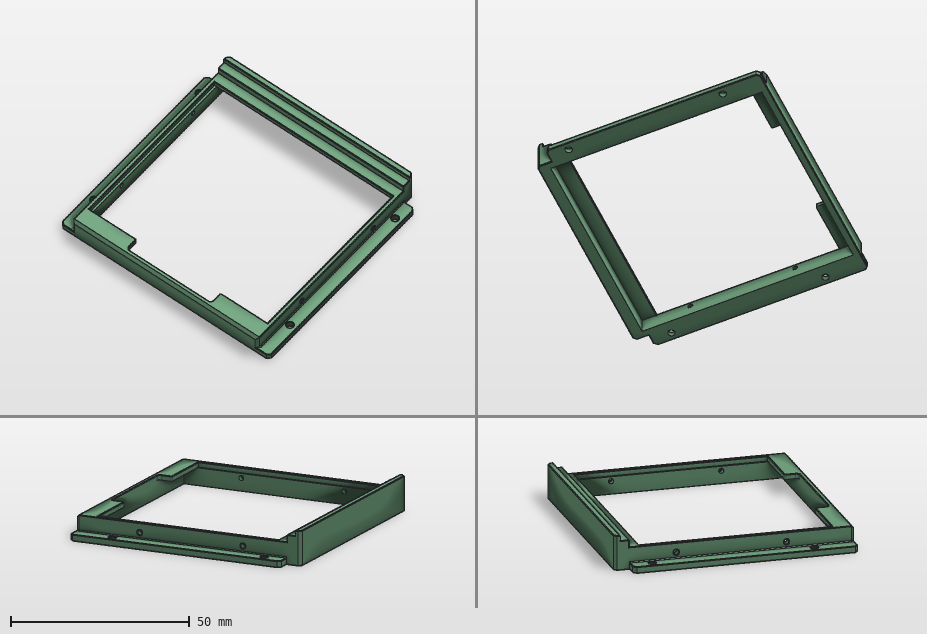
import cadquery as cq

length_x = 74.5
length_y = 70.0
height = 10.3

corner_chamfer = 0.9
flange_corner_chamfer = 1.0
edge_break = 0.2
rim_taper = 45

flange_width = 4.1
flange_thickness = 2.0
foot_chamfer = 0.3

frame_height = 6.6
plate_thickness = 1.5
side_wall = 2.1
front_wall = 2.0
back_wall = 3.35

rail_depth = 4.5
rail_height = 8.7
lip_depth = 1.8

window_side_wall = 1.35
window_front_margin = 6.2
window_back_margin = 7.6

notch_width = 29.95
notch_outer_radius = 0.4
notch_inner_radius = 0.9

flange_hole_diameter = 2.0
flange_hole_inset = 2.3
flange_hole_y = (12.2, 59.45)
side_hole_diameter = 1.4
side_hole_z = 3.8
side_hole_y = (19.8, 51.9)

frame_half_width = length_x / 2 - flange_width
frame_width = 2 * frame_half_width
rail_front = length_y - rail_depth
lip_front = length_y - lip_depth
window_end = length_y - window_back_margin
plate_bottom = frame_height - plate_thickness


def block(width, y_start, y_end, z_start, z_end):
    """Box centred on X that spans the given Y and Z ranges."""
    return (
        cq.Workplane("XY", origin=(0, (y_start + y_end) / 2, z_start))
        .box(width, y_end - y_start, z_end - z_start, centered=(True, True, False))
    )


def make_frame():
    """Low frame with a large chamfer along its front and broken top side edges."""
    frame = block(frame_width, 0, length_y, 0, frame_height)
    frame = frame.faces(">Y").edges("|Z").chamfer(corner_chamfer)
    frame = frame.faces("<Y").edges("|Z or >Z").chamfer(corner_chamfer)
    return frame.faces(">Z").edges("|Y").chamfer(edge_break)


def make_rail():
    """Two-step rail at the back: a wide step and a narrower lip behind it."""
    step = block(frame_width, rail_front, length_y, 0, rail_height)
    step = step.faces(">Y").edges("|Z").chamfer(corner_chamfer)
    step = step.faces("<Y").edges("|Z").chamfer(edge_break)
    step = step.faces(">Z").edges("not >Y").chamfer(edge_break)
    lip = block(frame_width, lip_front, length_y, 0, height)
    lip = lip.faces(">Y").edges("|Z").chamfer(corner_chamfer)
    lip = lip.faces(">Z").edges().chamfer(edge_break)
    return step.union(lip)


def make_flanges():
    """Flat mounting flanges, joined by one plate that passes under the frame."""
    plate = block(length_x, 0, rail_front, 0, flange_thickness)
    plate = plate.edges("|Z").chamfer(flange_corner_chamfer)
    return plate.faces(">Z").edges().chamfer(edge_break)


def make_foot_chamfers():
    """Sloped fillers where the side walls meet the flanges."""
    foot_top = flange_thickness + foot_chamfer
    foot_half_width = frame_half_width + foot_chamfer
    profile = [
        (-foot_half_width, flange_thickness),
        (foot_half_width, flange_thickness),
        (frame_half_width, foot_top),
        (-frame_half_width, foot_top),
    ]
    return (
        cq.Workplane("XZ", origin=(0, corner_chamfer, 0))
        .polyline(profile)
        .close()
        .extrude(corner_chamfer - rail_front)
    )


def make_cavity():
    """Open-bottomed hollow below the top plate."""
    cavity_width = frame_width - 2 * side_wall
    return block(cavity_width, front_wall, length_y - back_wall, 0, plate_bottom)


def make_window():
    """Opening through the top plate, with a notch reaching the front wall."""
    window_width = frame_width - 2 * window_side_wall
    window = block(window_width, window_front_margin, window_end, plate_bottom, frame_height)
    notch = block(notch_width, front_wall, window_end, plate_bottom, frame_height)
    notch = notch.faces("<Y").edges("|Z").fillet(notch_inner_radius)
    opening = window.union(notch)
    mouth = cq.selectors.BoxSelector(
        (-notch_width, window_front_margin - edge_break, plate_bottom),
        (notch_width, window_front_margin + edge_break, frame_height),
    )
    return opening.edges("|Z").edges(mouth).fillet(notch_outer_radius)


def break_window_rim(body):
    """Chamfer the upper rim of the window and its notch."""
    half_width = frame_half_width - window_side_wall + edge_break
    rim = cq.selectors.BoxSelector(
        (-half_width, front_wall - edge_break, frame_height - edge_break),
        (half_width, window_end + edge_break, frame_height + edge_break),
    )
    return body.edges(rim).chamfer(edge_break)


def make_flange_holes():
    """Vertical mounting holes in both flanges, with broken upper rims."""
    hole_x = length_x / 2 - flange_hole_inset
    points = [(x, y) for x in (-hole_x, hole_x) for y in flange_hole_y]
    radius = flange_hole_diameter / 2
    upper_face = cq.Workplane("XY", origin=(0, 0, flange_thickness)).pushPoints(points)
    shafts = upper_face.circle(radius).extrude(-flange_thickness)
    rims = upper_face.circle(radius + edge_break).extrude(-edge_break, taper=rim_taper)
    return shafts.union(rims)


def make_side_holes():
    """Horizontal holes through both side walls, with broken outer rims."""
    points = [(y, side_hole_z) for y in side_hole_y]
    radius = side_hole_diameter / 2
    left_face = cq.Workplane("YZ", origin=(-frame_half_width, 0, 0)).pushPoints(points)
    shafts = left_face.circle(radius).extrude(side_wall)
    rims = left_face.circle(radius + edge_break).extrude(edge_break, taper=rim_taper)
    left_holes = shafts.union(rims)
    return left_holes.union(left_holes.mirror("YZ"))


body = (
    make_frame()
    .union(make_rail())
    .union(make_flanges())
    .union(make_foot_chamfers())
)
body = body.faces("<Z").edges().chamfer(edge_break)
body = body.cut(make_cavity()).cut(make_window())
body = break_window_rim(body)
result = body.cut(make_flange_holes()).cut(make_side_holes()).solids()